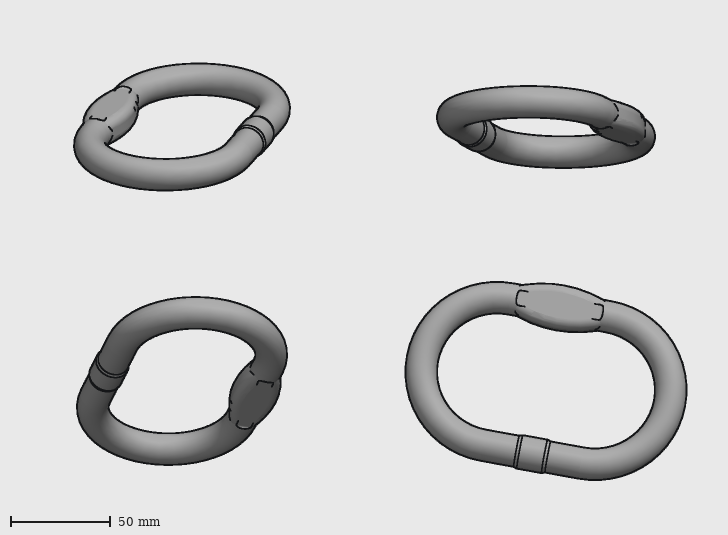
import cadquery as cq
import math

BAR_DIAMETER = 16.0
BAR_RADIUS = BAR_DIAMETER / 2
BEND_RADIUS = 38.0
HALF_STRAIGHT = 25.0

COLLAR_RADIUS = 17.2 / 2
COLLAR_HALF_LENGTH = 8.0
COLLAR_CONE_LENGTH = 1.7

GRIP_HALF_WIDTH = 11.2
GRIP_SIDE_RADIUS = 60.0
GRIP_HALF_LENGTH = 23.0
GRIP_HALF_THICKNESS = 7.0
GRIP_EDGE_RADIUS = 4.6
FLAT_HALF_LENGTH = 20.5
RAMP_RADIUS = 1.6


def make_ring():
    """Sweep the bar round the two straight legs and two half-circle bends."""
    end_y = HALF_STRAIGHT + BEND_RADIUS
    path = (
        cq.Workplane("XY")
        .moveTo(BEND_RADIUS, -HALF_STRAIGHT)
        .lineTo(BEND_RADIUS, HALF_STRAIGHT)
        .threePointArc((0, end_y), (-BEND_RADIUS, HALF_STRAIGHT))
        .lineTo(-BEND_RADIUS, -HALF_STRAIGHT)
        .threePointArc((0, -end_y), (BEND_RADIUS, -HALF_STRAIGHT))
        .close()
    )
    section = cq.Workplane("XZ", origin=(BEND_RADIUS, -HALF_STRAIGHT, 0))
    return section.circle(BAR_RADIUS).sweep(path)


def make_collar():
    """Revolve the collar profile about the +X leg's centre line."""
    band_half_length = COLLAR_HALF_LENGTH - COLLAR_CONE_LENGTH
    return (
        cq.Workplane("XY", origin=(BEND_RADIUS, 0, 0))
        .moveTo(0, -COLLAR_HALF_LENGTH)
        .lineTo(BAR_RADIUS, -COLLAR_HALF_LENGTH)
        .lineTo(COLLAR_RADIUS, -band_half_length)
        .lineTo(COLLAR_RADIUS, band_half_length)
        .lineTo(BAR_RADIUS, COLLAR_HALF_LENGTH)
        .lineTo(0, COLLAR_HALF_LENGTH)
        .close()
        .revolve(360, (0, 0, 0), (0, 1, 0))
    )


def make_grip_body():
    """Barrel-shaped slab with bulging sides and rounded long edges."""
    side_drop = GRIP_SIDE_RADIUS - math.sqrt(GRIP_SIDE_RADIUS**2 - GRIP_HALF_LENGTH**2)
    end_half_width = GRIP_HALF_WIDTH - side_drop
    slab = (
        cq.Workplane("XY", origin=(-BEND_RADIUS, 0, -GRIP_HALF_THICKNESS))
        .moveTo(-end_half_width, -GRIP_HALF_LENGTH)
        .lineTo(end_half_width, -GRIP_HALF_LENGTH)
        .threePointArc((GRIP_HALF_WIDTH, 0), (end_half_width, GRIP_HALF_LENGTH))
        .lineTo(-end_half_width, GRIP_HALF_LENGTH)
        .threePointArc((-GRIP_HALF_WIDTH, 0), (-end_half_width, -GRIP_HALF_LENGTH))
        .close()
        .extrude(2 * GRIP_HALF_THICKNESS)
    )
    return slab.faces("|Z").edges("%CIRCLE").fillet(GRIP_EDGE_RADIUS)


def make_flat_cutter(side):
    """Prism that removes the bar above (side = 1) or below (side = -1) the grip."""
    ramp_rise = BAR_RADIUS - GRIP_HALF_THICKNESS
    ramp_angle = math.acos(1 - ramp_rise / RAMP_RADIUS)

    def ramp_point(angle, end):
        y = FLAT_HALF_LENGTH + RAMP_RADIUS * math.sin(angle)
        z = GRIP_HALF_THICKNESS + RAMP_RADIUS * (1 - math.cos(angle))
        return (end * y, side * z)

    return (
        cq.Workplane("YZ", origin=(-BEND_RADIUS, 0, 0))
        .moveTo(*ramp_point(0, -1))
        .lineTo(*ramp_point(0, 1))
        .threePointArc(ramp_point(ramp_angle / 2, 1), ramp_point(ramp_angle, 1))
        .lineTo(*ramp_point(ramp_angle, -1))
        .threePointArc(ramp_point(ramp_angle / 2, -1), ramp_point(0, -1))
        .close()
        .extrude(GRIP_HALF_WIDTH, both=True)
    )


result = make_ring().union(make_collar()).union(make_grip_body())
for face_side in (1, -1):
    result = result.cut(make_flat_cutter(face_side))